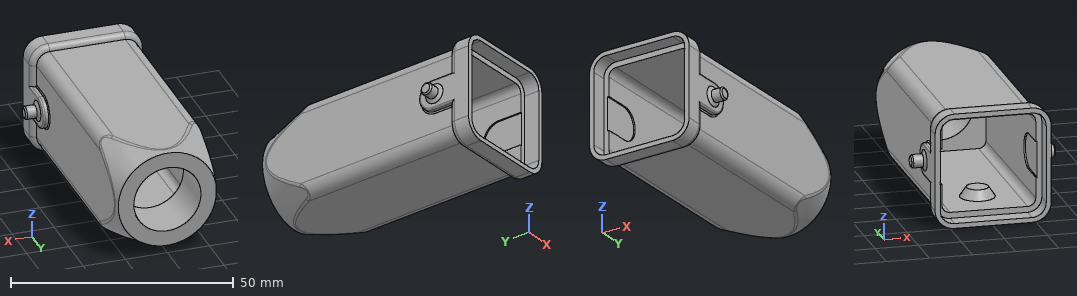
import cadquery as cq
import math

LENGTH = 60.0
CORNER_CENTRE = 9.0
BODY_HALF = 12.1
COLLAR_HALF = 13.5
COLLAR_LENGTH = 5.35
COLLAR_ROUND = COLLAR_HALF - BODY_HALF

NOSE_TIP_RADIUS = 11.7
NOSE_SLOPE = 0.33
NOSE_EDGE_ROUND = 1.2

MOUTH_HALF = 12.3
MOUTH_DEPTH = 4.0
CAVITY_HALF = 10.9
CAVITY_END_HALF = 10.7
CAVITY_END = 48.0
CABLE_HOLE_RADIUS = 8.0

TAB_CENTRE_Y = 10.3
TAB_RADIUS = 3.8
TAB_ROUND = 0.4
TAB_FOOT_WIDTH = 0.4
TAB_FOOT_HEIGHT = 0.2
FOOT_SEARCH = 0.05
RECESS_RADIUS = TAB_RADIUS + TAB_FOOT_WIDTH
RECESS_DEPTH = 0.3

PIN_Y = 9.7
PIN_RADIUS = 1.53
PIN_TIP_X = 16.71
PIN_CHAMFER = 0.35
PIN_FOOT_RADIUS = 2.45
PIN_FOOT_HEIGHT = 0.55

BOSS_Y = 14.3
BOSS_TOP_Z = -8.65
BOSS_TOP_RADIUS = 2.5
BOSS_FOOT_RADIUS = 4.1

BOTH_SIDES = (-1, 1)


def square_prism(half, start, end, taper=0):
    """Rounded square bar from Y = start to Y = end, narrowing by the taper angle."""
    section = cq.Sketch().rect(2 * half, 2 * half).vertices().fillet(half - CORNER_CENTRE)
    start_plane = cq.Plane(origin=(0, start, 0), xDir=(1, 0, 0), normal=(0, 1, 0))
    return cq.Workplane(start_plane).placeSketch(section).extrude(end - start, taper=taper)


def tongue(radius, inner_x, outer_x, side):
    """Round-ended plate along Y, standing on the wall of the given side."""
    start, thickness = side * inner_x, side * (outer_x - inner_x)
    return (
        cq.Workplane("YZ", origin=(start, 0, 0))
        .moveTo(0, -radius)
        .lineTo(TAB_CENTRE_Y, -radius)
        .threePointArc((TAB_CENTRE_Y + radius, 0), (TAB_CENTRE_Y, radius))
        .lineTo(0, radius)
        .close()
        .extrude(thickness)
    )


def revolved_about_y(profile):
    return cq.Workplane("XY").polyline(profile).close().revolve(360, (0, 0, 0), (0, 1, 0))


def make_body():
    """Square tube blank with the conical nose and softened nose edges."""
    nose_base_radius = NOSE_TIP_RADIUS + NOSE_SLOPE * LENGTH
    nose = revolved_about_y(
        [(0, 0), (nose_base_radius, 0), (NOSE_TIP_RADIUS, LENGTH), (0, LENGTH)]
    )
    blank = square_prism(BODY_HALF, 0, LENGTH).intersect(nose)
    return blank.faces("%CONE").edges("not %CIRCLE").fillet(NOSE_EDGE_ROUND)


def add_tab(body, side):
    """Round-ended pad on a side wall, with a rounded rim and a flared foot."""
    tab = tongue(TAB_RADIUS, CORNER_CENTRE, COLLAR_HALF, side)
    outer_face = ">X" if side > 0 else "<X"
    tab = tab.faces(outer_face).edges("not |Z").fillet(TAB_ROUND)
    joined = body.union(tab)
    foot_x = side * BODY_HALF
    foot = cq.selectors.BoxSelector(
        (foot_x - FOOT_SEARCH, FOOT_SEARCH, -TAB_RADIUS - FOOT_SEARCH),
        (foot_x + FOOT_SEARCH, TAB_CENTRE_Y + TAB_RADIUS + FOOT_SEARCH, TAB_RADIUS + FOOT_SEARCH),
        boundingbox=False,
    )
    return joined.edges(foot).chamfer(TAB_FOOT_WIDTH, TAB_FOOT_HEIGHT)


def make_collar():
    """Thicker band around the mouth with its far rim rounded down to the tube."""
    collar = square_prism(COLLAR_HALF, 0, COLLAR_LENGTH)
    return collar.faces(">Y").edges().fillet(COLLAR_ROUND)


def make_pin(side):
    """Locking pin with a conical foot and a chamfered tip."""
    profile = [
        (0, 0),
        (PIN_FOOT_RADIUS, 0),
        (PIN_RADIUS, PIN_FOOT_HEIGHT),
        (PIN_RADIUS, PIN_TIP_X - COLLAR_HALF - PIN_CHAMFER),
        (PIN_RADIUS - PIN_CHAMFER, PIN_TIP_X - COLLAR_HALF),
        (0, PIN_TIP_X - COLLAR_HALF),
    ]
    pin = revolved_about_y(profile).rotate((0, 0, 0), (0, 0, 1), -90 * side)
    return pin.translate((side * COLLAR_HALF, PIN_Y, 0))


def make_cavity():
    """Stepped mouth, tapered cavity, side recesses behind the tabs and the cable hole."""
    taper = math.degrees(math.atan((CAVITY_HALF - CAVITY_END_HALF) / CAVITY_END))
    cavity = square_prism(CAVITY_HALF, 0, CAVITY_END, taper)
    cavity = cavity.union(square_prism(MOUTH_HALF, 0, MOUTH_DEPTH))
    for side in BOTH_SIDES:
        cavity = cavity.union(tongue(RECESS_RADIUS, CORNER_CENTRE, CAVITY_HALF + RECESS_DEPTH, side))
    cable_hole = cq.Workplane("XZ").circle(CABLE_HOLE_RADIUS).extrude(-LENGTH)
    return cavity.union(cable_hole)


def make_boss():
    """Cone frustum rising from the floor wall."""
    floor_z = -CAVITY_HALF
    slope = (BOSS_FOOT_RADIUS - BOSS_TOP_RADIUS) / (BOSS_TOP_Z - floor_z)
    root_z = -(CAVITY_HALF + BODY_HALF) / 2
    root_radius = BOSS_FOOT_RADIUS + slope * (floor_z - root_z)
    profile = [(0, root_z), (root_radius, root_z), (BOSS_TOP_RADIUS, BOSS_TOP_Z), (0, BOSS_TOP_Z)]
    boss = revolved_about_y(profile).rotate((0, 0, 0), (1, 0, 0), 90)
    return boss.translate((0, BOSS_Y, 0))


body = make_body()
for tab_side in BOTH_SIDES:
    body = add_tab(body, tab_side)
body = body.union(make_collar())
for pin_side in BOTH_SIDES:
    body = body.union(make_pin(pin_side))

result = body.cut(make_cavity()).union(make_boss())